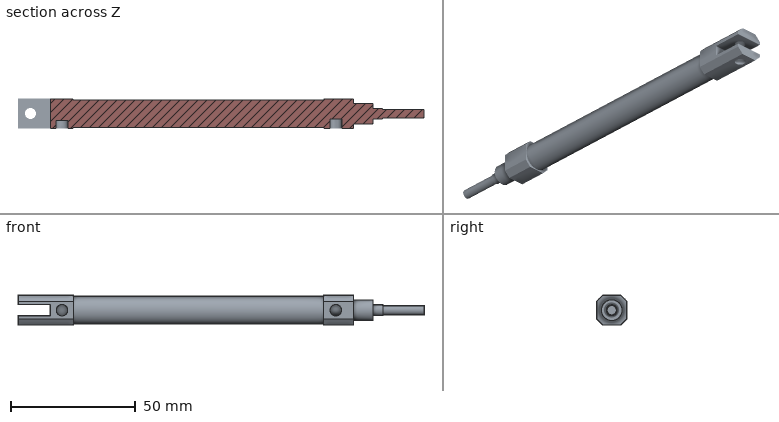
import cadquery as cq

total_length = 162.8
head_width = 12.0
head_chamfer = 2.5

clevis_end = 22.1
front_head_start = 122.4
front_head_end = 134.5
nose_end = 142.2
collar_end = 146.1

tube_diameter = 11.2
nose_diameter = 8.3
collar_diameter = 4.4
rod_diameter = 3.7

slot_depth = 12.9
slot_height = 4.4
pin_hole_x = 5.0
pin_hole_diameter = 4.4

port_diameter = 4.5
rear_port_x = 17.5
front_port_x = 127.3
rear_port_depth = 3.3
front_port_depth = head_width / 2


def round_section(start, end, diameter):
    return cq.Workplane("YZ").workplane(offset=start).circle(diameter / 2).extrude(end - start)


def octagonal_head(start, end):
    block = cq.Workplane("YZ").workplane(offset=start).rect(head_width, head_width).extrude(end - start)
    return block.edges("|X").chamfer(head_chamfer)


def port(x, depth):
    face = cq.Workplane("XZ", origin=(x, -head_width / 2, 0))
    return face.circle(port_diameter / 2).extrude(-depth)


body = (
    octagonal_head(0, clevis_end)
    .union(round_section(clevis_end, front_head_start, tube_diameter))
    .union(octagonal_head(front_head_start, front_head_end))
    .union(round_section(front_head_end, nose_end, nose_diameter))
    .union(round_section(nose_end, collar_end, collar_diameter))
    .union(round_section(collar_end, total_length, rod_diameter))
)

slot = cq.Workplane("XY").box(slot_depth, head_width, slot_height, centered=(False, True, True))
pin_hole = cq.Workplane("XY").center(pin_hole_x, 0).circle(pin_hole_diameter / 2).extrude(head_width, both=True)
body = body.cut(slot).cut(pin_hole)

inner_rod = round_section(front_head_start, front_head_end, collar_diameter)
front_port = port(front_port_x, front_port_depth).cut(inner_rod)
result = body.cut(port(rear_port_x, rear_port_depth)).cut(front_port)